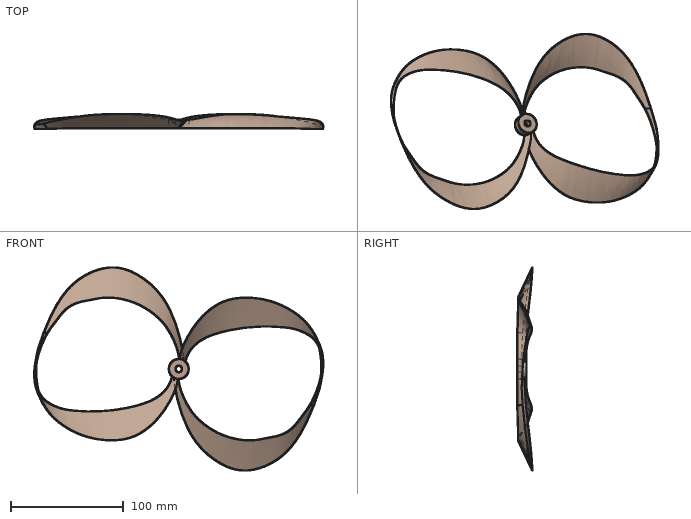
import cadquery as cq

HUB_RADIUS = 8.9
HUB_LENGTH = 7.8
BORE_RADIUS = 2.75

BLADE_COUNT = 2
FULL_BULGE = 0.055
FLAT_BULGE = -0.01
TIP_BULGE = 0.14
BULGE_POSITION = 0.4

UPPER_ARM = [
    ((4.3, 5.0, 6.0), (-0.3, 0.3, 6.0)),
    ((2.9, 6.2, 19.7), (-2.9, 0.0, 21.6)),
    ((-2.3, 7.8, 39.0), (-8.4, 0.0, 33.0)),
    ((-10.4, 10.0, 57.4), (-14.9, 0.0, 41.9)),
    ((-32.3, 12.4, 81.0), (-35.2, 0.0, 56.8)),
    ((-58.4, 12.8, 90.2), (-61.3, 0.0, 63.2)),
    ((-80.6, 11.5, 84.4), (-81.5, 0.0, 60.7)),
    ((-95.0, 9.4, 74.2), (-95.0, 0.0, 56.4)),
    ((-111.4, 6.2, 51.2), (-108.6, -0.4, 42.9)),
    ((-122.6, 3.6, 24.8), (-119.2, -0.75, 26.5)),
]
TIP = [
    ((-126.9, 3.8, 5.0), (-126.8, -0.75, 3.0)),
    ((-125.7, 5.5, -14.0), (-126.8, -0.75, -15.0)),
]
LOWER_ARM = [
    ((-122.0, 7.0, -23.8), (-122.9, -0.6, -26.2)),
    ((-109.6, 8.7, -33.0), (-112.2, -0.3, -42.1)),
    ((-90.2, 10.4, -37.1), (-90.2, 0.0, -57.0)),
    ((-63.6, 12.2, -37.0), (-63.6, 0.0, -63.3)),
    ((-40.0, 12.1, -33.1), (-40.0, 0.0, -60.0)),
    ((-22.6, 9.8, -27.0), (-21.3, 0.0, -47.0)),
    ((-9.6, 7.6, -15.4), (-6.2, 0.0, -25.7)),
    ((-6.4, 6.6, -6.0), (-0.5, 0.3, -6.0)),
]
SECTIONS = UPPER_ARM + TIP + LOWER_ARM


def section_middle(index):
    """Middle of the chord of a section; past either root it is that of the root section."""
    rear, front = SECTIONS[min(max(index, 0), len(SECTIONS) - 1)]
    return (cq.Vector(*rear) + cq.Vector(*front)) / 2


def section_bulges(index):
    """Bulges of the face towards the inside of the loop and of the face towards its outside."""
    if index < len(UPPER_ARM):
        return FULL_BULGE, FLAT_BULGE
    if index < len(UPPER_ARM) + len(TIP):
        return TIP_BULGE, TIP_BULGE
    return FLAT_BULGE, FULL_BULGE


def section_wire(index):
    """Blade section: two shallow curves that meet at the front and rear edges."""
    rear, front = (cq.Vector(*point) for point in SECTIONS[index])
    along = section_middle(index + 1) - section_middle(index - 1)
    inward = along.cross(rear - front).normalized()
    inner_bulge, outer_bulge = section_bulges(index)
    chord = (front - rear).Length
    thickest = rear + (front - rear) * BULGE_POSITION
    inner_face = cq.Edge.makeSpline([front, thickest + inward * inner_bulge * chord, rear])
    outer_face = cq.Edge.makeSpline([rear, thickest - inward * outer_bulge * chord, front])
    return cq.Wire.assembleEdges([inner_face, outer_face])


def make_blade():
    """One looped blade, a smooth loft through all its sections."""
    wires = [section_wire(index) for index in range(len(SECTIONS))]
    return cq.Workplane(cq.Solid.makeLoft(wires))


def make_cylinder(radius):
    """Cylinder on the Y axis, as long as the hub."""
    return cq.Workplane("XZ").circle(radius).extrude(-HUB_LENGTH)


def make_propeller():
    """Hub with its blades spaced evenly round the Y axis, bored through."""
    propeller = make_cylinder(HUB_RADIUS)
    blade = make_blade()
    for number in range(BLADE_COUNT):
        angle = 360 / BLADE_COUNT * number
        propeller = propeller.union(blade.rotate((0, 0, 0), (0, 1, 0), angle))
    return propeller.cut(make_cylinder(BORE_RADIUS))


result = make_propeller()